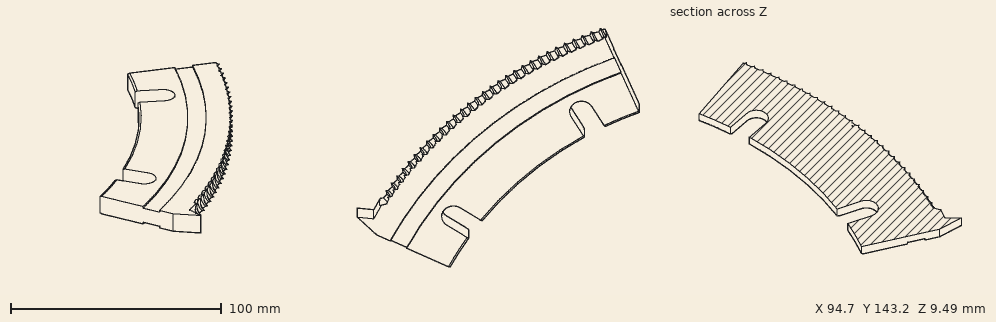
import cadquery as cq
import math


thickness = 9.49
inner_radius = 172.9
blank_radius = 217.6
segment_angle = 41.34
inner_chamfer_radial = 1.0
inner_chamfer_axial = 0.5

groove_inner_radius = 196.0
groove_outer_radius = 204.7
groove_depth = 0.9

slot_width = 11.2
slot_end_radius = 191.1
slot_end_offset_angle = 7.8
slot_angles = (slot_end_offset_angle, segment_angle - slot_end_offset_angle)

block_face_x = 217.05
block_start_y = 7.1
nose_start_x = 211.9
nose_tip_x = 224.48
nose_tip_y = 4.4

tooth_pitch_angle = 1.236
tip_radius = 217.15
first_gap_angle = 4.56
root_width = 2.6
cutter_radius = 8.5
cutter_flank_depth = 3.3

half_thickness = thickness / 2
tooth_pitch = tip_radius * math.radians(tooth_pitch_angle)
tooth_height = (tooth_pitch - root_width) / 2
face_shift = tooth_pitch / 2
gap_tilt = math.degrees(math.atan2(face_shift, thickness))


def polar(radius, angle):
    """Point at a radius and an angle in degrees about the ring centre."""
    return (radius * math.cos(math.radians(angle)), radius * math.sin(math.radians(angle)))


def make_body():
    """Plate with the inner and outer arcs, the stop block and the nose."""
    block_end_y = math.sqrt(blank_radius**2 - block_face_x**2)
    middle_angle = segment_angle / 2
    return (
        cq.Workplane("XY")
        .workplane(offset=-half_thickness)
        .moveTo(inner_radius, 0)
        .lineTo(nose_start_x, 0)
        .lineTo(nose_tip_x, nose_tip_y)
        .lineTo(block_face_x, block_start_y)
        .lineTo(block_face_x, block_end_y)
        .threePointArc(polar(blank_radius, middle_angle), polar(blank_radius, segment_angle))
        .lineTo(*polar(inner_radius, segment_angle))
        .threePointArc(polar(inner_radius, middle_angle), (inner_radius, 0))
        .close()
        .extrude(thickness)
    )


def make_ring(section_points):
    """Full ring from a closed section of (radius, height) points."""
    return cq.Workplane("XZ").polyline(section_points).close().revolve(360, (0, 0, 0), (0, 1, 0))


def make_chamfer(side):
    """Ring that bevels the inner edge on the top (side 1) or bottom (side -1)."""
    face_z = side * half_thickness
    return make_ring([
        (inner_radius - inner_chamfer_radial, face_z - 2 * side * inner_chamfer_axial),
        (inner_radius + inner_chamfer_radial, face_z),
        (inner_radius - inner_chamfer_radial, face_z),
    ])


def make_groove(side):
    """Ring that sinks the arc groove into the top (side 1) or bottom (side -1)."""
    face_z = side * half_thickness
    floor_z = face_z - side * groove_depth
    return make_ring([
        (groove_inner_radius, floor_z),
        (groove_outer_radius, floor_z),
        (groove_outer_radius, face_z),
        (groove_inner_radius, face_z),
    ])


def make_slot(angle):
    """Radial slot with a round outer end, running in from inside the inner edge."""
    slot_radius = slot_width / 2
    centre = slot_end_radius - slot_radius
    return (
        cq.Workplane("XY")
        .workplane(offset=-half_thickness)
        .moveTo(inner_radius - slot_width, -slot_radius)
        .lineTo(centre, -slot_radius)
        .threePointArc((slot_end_radius, 0), (centre, slot_radius))
        .lineTo(inner_radius - slot_width, slot_radius)
        .close()
        .extrude(thickness)
        .rotate((0, 0, 0), (0, 0, 1), angle)
    )


def make_tooth_gap():
    """Half ring with a trapezoidal rim on a tangential axis, tilted about the radial direction."""
    half_chord = half_thickness / math.cos(math.radians(gap_tilt))
    root_radius = tip_radius - tooth_height
    axis_radius = root_radius + math.sqrt(cutter_radius**2 - half_chord**2)
    rim_half_width = root_width / 2
    hub_half_width = rim_half_width + cutter_flank_depth
    rim_x = axis_radius - cutter_radius
    hub_x = rim_x + cutter_flank_depth
    return (
        cq.Workplane("XY")
        .moveTo(hub_x, -hub_half_width)
        .lineTo(rim_x, -rim_half_width)
        .lineTo(rim_x, rim_half_width)
        .lineTo(hub_x, hub_half_width)
        .close()
        .revolve(180, (axis_radius, 0, 0), (axis_radius, 1, 0))
        .rotate((axis_radius, 0, 0), (axis_radius, 1, 0), -90)
        .rotate((0, 0, 0), (1, 0, 0), gap_tilt)
    )


def cut_teeth(body):
    """Cut the gaps one pitch apart from the stop block to past the far end."""
    gap = make_tooth_gap()
    gap_count = math.ceil((segment_angle - first_gap_angle) / tooth_pitch_angle) + 1
    gaps = [
        gap.val().rotate((0, 0, 0), (0, 0, 1), first_gap_angle + index * tooth_pitch_angle)
        for index in range(gap_count)
    ]
    toothed = body.val().cut(*gaps[::2]).cut(*gaps[1::2])
    return cq.Workplane("XY").newObject([toothed])


segment = cut_teeth(make_body())
for face_side in (1, -1):
    segment = segment.cut(make_chamfer(face_side)).cut(make_groove(face_side))
for slot_angle in slot_angles:
    segment = segment.cut(make_slot(slot_angle))

result = segment.solids()